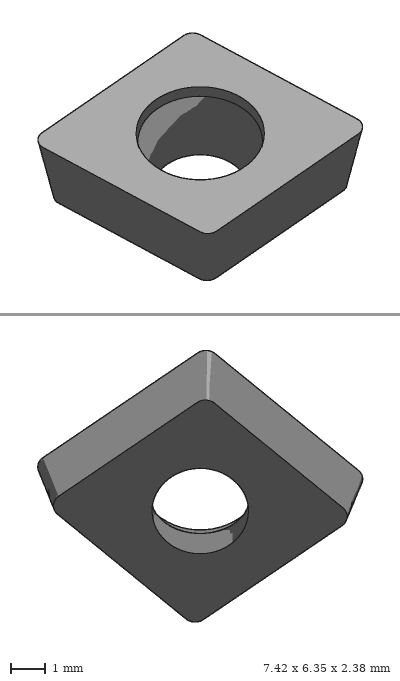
import cadquery as cq
import math

width = 6.35
thickness = 2.38
corner_angle = 80.0
clearance_angle = 7.0
corner_radius = 0.39

bore_diameter = 2.8
mouth_diameter = 3.725
seat_diameter = 3.61
mouth_depth = 0.34
seat_radius = 2.715


def rhombus_points(across):
    """Corners of a rhombus with the given distance between opposite sides."""
    half_height = across / 2
    half_side = half_height / math.sin(math.radians(corner_angle))
    lean = half_height / math.tan(math.radians(corner_angle))
    return [
        (-half_side - lean, -half_height),
        (half_side - lean, -half_height),
        (half_side + lean, half_height),
        (-half_side + lean, half_height),
    ]


def make_body():
    """Tapered rhombic block with its four side edges rounded."""
    inset = thickness * math.tan(math.radians(clearance_angle))
    block = (
        cq.Workplane("XY")
        .polyline(rhombus_points(width - 2 * inset))
        .close()
        .workplane(offset=thickness)
        .polyline(rhombus_points(width))
        .close()
        .loft(ruled=True)
    )
    return block.edges("not(#Z)").fillet(corner_radius)


def make_screw_hole():
    """Revolved cutter: bore, convex screw seat and slightly conical mouth."""
    bore_r = bore_diameter / 2
    seat_r = seat_diameter / 2
    seat_z = thickness - mouth_depth
    arc_center_r = bore_r + seat_radius
    arc_rise = math.sqrt(seat_radius**2 - (arc_center_r - seat_r) ** 2)
    seat_bottom_z = seat_z - arc_rise
    mid_angle = math.acos((arc_center_r - seat_r) / seat_radius) / 2
    arc_middle = (
        arc_center_r - seat_radius * math.cos(mid_angle),
        seat_bottom_z + seat_radius * math.sin(mid_angle),
    )
    return (
        cq.Workplane("XZ")
        .moveTo(0, 0)
        .lineTo(bore_r, 0)
        .lineTo(bore_r, seat_bottom_z)
        .threePointArc(arc_middle, (seat_r, seat_z))
        .lineTo(mouth_diameter / 2, thickness)
        .lineTo(0, thickness)
        .close()
        .revolve(360, (0, 0, 0), (0, 1, 0))
    )


result = make_body().cut(make_screw_hole())